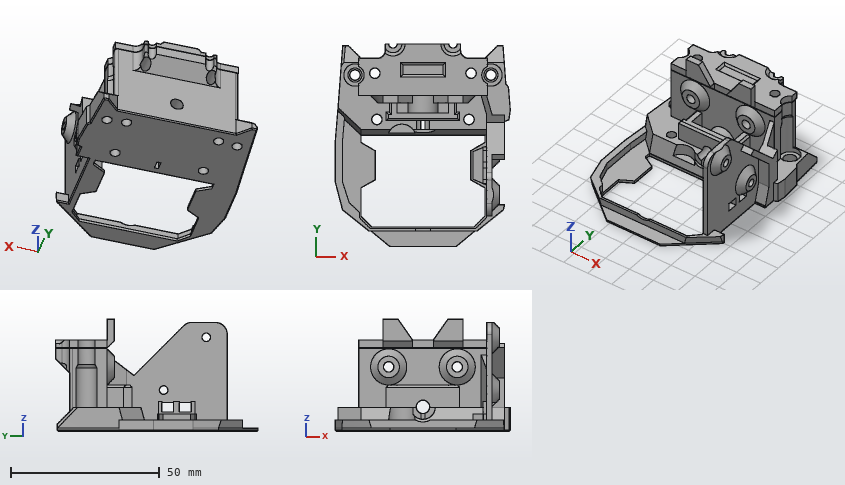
import cadquery as cq
import math


FLOOR_THICKNESS = 1.1
BOTTOM_CHAMFER = 0.4
RIM_HEIGHT = 3.9
FLANGE_HEIGHT = 8.1
FLANGE_FRONT_TOP_Y = -11.3
FLANGE_FRONT_FOOT_Y = -13.4
FLANGE_LEAN = FLANGE_FRONT_TOP_Y - FLANGE_FRONT_FOOT_Y
FLANGE_RIGHT_X = 27.5
BACK_Y = 17.45
FRONT_Y = BACK_Y - 68.2
WING_BACK_Y = 16.85
WING_BACK_HEIGHT = 2.45
WING_TIP_X = 25.1
WING_ROOT_X = 20.8
RIM_FRONT_Y = -45.5
RIM_END_Y = -36.55
WINDOW_X = 20.8
WINDOW_FRONT_Y = -44.05
WINDOW_CORNER = 3.6
RIM_LEDGE = 0.55
TAB_X = 16.0
TAB_TIP_Y = (-18.5, -28.3)
TAB_ROOT_Y = (-15.7, -30.95)
LEFT_BEND = (-28.55, -3.95)
LEFT_SIDE_X = -29.5
LEFT_SIDE_Y = (-15.55, -28.85)

BLOCK_HALF_WIDTH = 21.6
BLOCK_DEPTH = 12.6
BLOCK_TOP = 27.9
BLOCK_CORNER_RADIUS = 1.0
COVER_GAP = 0.2
COVER_BOTTOM = BLOCK_TOP + COVER_GAP
COVER_TOP = 30.75
TOTAL_HEIGHT = 37.8
EAR_HALF_WIDTH = 12.7
EAR_FILLET = 2.65
EAR_TIP_RADIUS = 0.4
EAR_FOOT_Z = 24.5
EAR_HOLE_X = 10.1
EAR_HOLE_DIAMETER = 2.8
EAR_SINK_DIAMETER = 6.0
EAR_SINK_TOP_DIAMETER = 8.2
EAR_SINK_DEPTH = 1.2
LABEL_SIZE = (15.05, 4.85)
LABEL_Y = 8.7
LABEL_DEPTH = 0.75
PRONG_OUTER_X = 13.5
PRONG_TOP_X = 8.4
PRONG_INNER_X = 3.5
PRONG_THICKNESS = 2.4

SCREW_DIAMETER = 3.4
COVER_SCREW = (16.15, 7.6)
FLANGE_SCREW = (15.5, -8.0)
CORNER_BORE = (22.85, 6.95)
CORNER_COUNTERBORE_DIAMETER = 4.7
CORNER_COUNTERBORE_FLOOR = 3.1
SHANK_DIAMETER = 6.2
HEAD_DIAMETER = 7.5
HEAD_FLOOR = 6.3
HEAD_TOP = 21.3
HEAD_CONE_TOP = 22.5

NOZZLE_X = 11.5
NOZZLE_Z = 21.7
NOZZLE_ROOT_RADIUS = 6.1
NOZZLE_LENGTH = 2.45
CHANNEL_Z = 8.25
CHANNEL_DIAMETER = 4.4
CHANNEL_SLEEVE_RADIUS = 5.05
CHANNEL_RECESS_RADIUS = 4.15
SLOT_WIDTH = 1.35
SCALLOP_CENTER = (-7.1, -14.4)
SCALLOP_RADIUS = 4.85

BRACKET_TOP = 15.55
BRACKET_CHAMFER = 0.75
BAR_HALF_WIDTH = 12.35
BAR_BACK_Y = -5.5
BAR_FRONT_Y = -8.4
ARM_OUTER_X = 11.3
ARM_INNER_X = 8.65
BRACKET_POCKET_Y = -5.8

WALL_INNER_X = 21.4
WALL_OUTER_X = 23.25
WALL_THICKNESS = WALL_OUTER_X - WALL_INNER_X
WALL_TOP = 36.7
WALL_FRONT_Y = -40.35
WALL_VALLEY = (-9.0, 18.8)
WALL_FRONT_RADIUS = 4.1
WALL_BACK_RADIUS = 3.4
GUSSET_ROOT_X = 19.55
GUSSET_END_Y = -6.4
GUSSET_TOP = 25.7
RIB_PEAK_Y = -19.8
RIB_END = (-21.5, 28.15)
RIB_END_RADIUS = 2
WALL_BOSSES = ((-33.3, 31.6), (-18.95, 13.9))
BOSS_HOLE_DIAMETER = 2.8
BOSS_TIP_RADIUS = 3.0
BOSS_LENGTH = 2.5

CATCH_TIP_X = 16.8
CATCH_FRAME_X = 20.2
CATCH_SHELF_Z = 5.8
CATCH_TOP = 10.1
CATCH_FRAME_Y = (-17.2, -29.5)
CATCH_OPENINGS_Y = ((-18.35, -22.2), (-24.3, -28.2))
CATCH_OPENING_Z = (6.6, 9.7)


def box(x0, x1, y0, y1, z0, z1):
    """A box between two opposite corners."""
    size = (abs(x1 - x0), abs(y1 - y0), abs(z1 - z0))
    return cq.Workplane("XY").box(*size).translate(((x0 + x1) / 2, (y0 + y1) / 2, (z0 + z1) / 2))


def prism(points, z0, z1):
    """A plan outline raised from z0 to z1."""
    return cq.Workplane("XY").workplane(offset=z0).polyline(points).close().extrude(z1 - z0)


def side_profile(points, x0, x1):
    """A (y, z) outline swept along X from x0 to x1."""
    return cq.Workplane("YZ").workplane(offset=x0).polyline(points).close().extrude(x1 - x0)


def ruled(lower, z0, upper, z1):
    """A solid with straight sides between two outlines of equal point count."""
    start = cq.Workplane("XY").workplane(offset=z0).polyline(lower).close()
    return start.workplane(offset=z1 - z0).polyline(upper).close().loft(ruled=True)


def post(center, radius, z0, z1):
    """A vertical cylinder."""
    return cq.Workplane("XY").workplane(offset=z0).center(*center).circle(radius).extrude(z1 - z0)


def cylinder_y(x, z, radius, y_front, y_back):
    """A cylinder along Y."""
    length = y_back - y_front
    return cq.Workplane(cq.Solid.makeCylinder(radius, length, cq.Vector(x, y_front, z), cq.Vector(0, 1, 0)))


def mirrored(point):
    """A plan position and its mirror image across the middle plane."""
    return [(-point[0], point[1]), point]


RIGHT_SIDE = [
    (FLANGE_RIGHT_X, -8.65),
    (28.9, -8.1),
    (29.4, -4.8),
    (28.8, 2.85),
    (27.9, 3.95),
    (26.9, WING_BACK_Y),
]
BACK_SIDE = [
    (WING_TIP_X, WING_BACK_Y),
    (WING_ROOT_X, BLOCK_DEPTH),
    (-WING_ROOT_X, BLOCK_DEPTH),
    (-WING_TIP_X, WING_BACK_Y),
    (-27.0, WING_BACK_Y),
]
LEFT_SIDE = [LEFT_BEND, (LEFT_SIDE_X, LEFT_SIDE_Y[0]), (LEFT_SIDE_X, LEFT_SIDE_Y[1])]


def window_cutter():
    """The opening in the floor, narrowed by a tab on each side."""
    right = [
        (WINDOW_X, FLANGE_FRONT_FOOT_Y),
        (WINDOW_X, TAB_ROOT_Y[0]),
        (TAB_X, TAB_TIP_Y[0]),
        (TAB_X, TAB_TIP_Y[1]),
        (WINDOW_X, TAB_ROOT_Y[1]),
        (WINDOW_X, WINDOW_FRONT_Y + WINDOW_CORNER),
        (WINDOW_X - WINDOW_CORNER, WINDOW_FRONT_Y),
    ]
    left = [(-x, y) for x, y in reversed(right)]
    return prism(right + left, 0, FLOOR_THICKNESS)


def make_floor():
    """The thin base plate with its front lip and chamfered underside."""
    front = [
        (-27.2, -37.35),
        (-11.1, FRONT_Y),
        (11.1, FRONT_Y),
        (27.2, -37.35),
        (FLANGE_RIGHT_X, RIM_END_Y),
        (WALL_OUTER_X, RIM_END_Y),
        (WALL_OUTER_X, FLANGE_FRONT_FOOT_Y),
        (FLANGE_RIGHT_X, FLANGE_FRONT_FOOT_Y),
    ]
    floor = prism(LEFT_SIDE + front + RIGHT_SIDE + BACK_SIDE, 0, FLOOR_THICKNESS)
    return floor.faces("<Z").chamfer(BOTTOM_CHAMFER).cut(window_cutter())


def make_rim():
    """The low wall round the frame; its front corners lean outward towards the top."""

    def outline(corner, front_x):
        right = [(front_x, RIM_FRONT_Y), (-corner[0], corner[1]), (FLANGE_RIGHT_X, RIM_END_Y)]
        inside = [(WALL_INNER_X, RIM_END_Y), (WALL_INNER_X, LEFT_BEND[1])]
        return LEFT_SIDE + [corner, (-front_x, RIM_FRONT_Y)] + right + inside

    lower = outline((-27.2, -37.35), 17.3)
    upper = outline((-27.05, -38.3), 18.1)
    wall = ruled(lower, FLOOR_THICKNESS, upper, RIM_HEIGHT)
    inner_x = WINDOW_X + RIM_LEDGE
    front_y = WINDOW_FRONT_Y - RIM_LEDGE
    inner = [
        (-26.05, LEFT_BEND[1]),
        (-27.05, LEFT_SIDE_Y[0]),
        (-27.05, LEFT_SIDE_Y[1]),
        (-24.8, -35.85),
        (-inner_x, -39.2),
        (-inner_x, front_y + WINDOW_CORNER),
        (WINDOW_CORNER - inner_x, front_y),
        (inner_x - WINDOW_CORNER, front_y),
        (inner_x, front_y + WINDOW_CORNER),
        (inner_x, LEFT_BEND[1]),
    ]
    return wall.cut(prism(inner, FLOOR_THICKNESS, RIM_HEIGHT))


def make_flange():
    """The thick rear part of the base, with leaning front faces and sloping rear wings."""

    def outline(lean):
        front = FLANGE_FRONT_TOP_Y - lean
        corners = [(-WINDOW_X, front), (FLANGE_RIGHT_X, front)]
        return [(LEFT_BEND[0], LEFT_BEND[1] - lean)] + corners + RIGHT_SIDE + BACK_SIDE

    flange = ruled(outline(FLANGE_LEAN), BOTTOM_CHAMFER, outline(0), FLANGE_HEIGHT)
    drop = FLANGE_HEIGHT - WING_BACK_HEIGHT
    slope = [
        (WING_BACK_Y, WING_BACK_HEIGHT),
        (WING_BACK_Y, FLANGE_HEIGHT),
        (WING_BACK_Y - drop, FLANGE_HEIGHT),
    ]
    flange = flange.cut(side_profile(slope, -34.1, 34.1))
    corner = cq.Plane(origin=(-26.05, WING_BACK_Y, WING_BACK_HEIGHT), normal=(-21, 16, 14))
    return flange.cut(cq.Workplane(corner).rect(27.3, 27.3).extrude(6.8))


def ear_outline(half_width):
    """Plan outline of the block top with the tongue that carries the two rear screws."""
    start = EAR_HALF_WIDTH + EAR_FILLET
    bend = EAR_FILLET * (1 - math.sqrt(0.5))
    shoulder = BLOCK_DEPTH + EAR_FILLET
    tip_bend = EAR_TIP_RADIUS * (1 - math.sqrt(0.5))
    outline = cq.Workplane("XY").moveTo(-half_width, 0).lineTo(half_width, 0)
    outline = outline.lineTo(half_width, BLOCK_DEPTH).lineTo(start, BLOCK_DEPTH)
    outline = outline.threePointArc((EAR_HALF_WIDTH + bend, BLOCK_DEPTH + bend), (EAR_HALF_WIDTH, shoulder))
    outline = outline.lineTo(EAR_HALF_WIDTH, BACK_Y - EAR_TIP_RADIUS)
    outline = outline.threePointArc(
        (EAR_HALF_WIDTH - tip_bend, BACK_Y - tip_bend), (EAR_HALF_WIDTH - EAR_TIP_RADIUS, BACK_Y)
    )
    outline = outline.lineTo(EAR_TIP_RADIUS - EAR_HALF_WIDTH, BACK_Y)
    outline = outline.threePointArc(
        (tip_bend - EAR_HALF_WIDTH, BACK_Y - tip_bend), (-EAR_HALF_WIDTH, BACK_Y - EAR_TIP_RADIUS)
    )
    outline = outline.lineTo(-EAR_HALF_WIDTH, shoulder)
    outline = outline.threePointArc((-EAR_HALF_WIDTH - bend, BLOCK_DEPTH + bend), (-start, BLOCK_DEPTH))
    return outline.lineTo(-half_width, BLOCK_DEPTH).close()


def make_block():
    """The upright block with a 45 degree underside below its rear tongue."""
    block = box(-BLOCK_HALF_WIDTH, BLOCK_HALF_WIDTH, 0, BLOCK_DEPTH, BOTTOM_CHAMFER, BLOCK_TOP)
    block = block.edges("|Z and >Y").fillet(BLOCK_CORNER_RADIUS)
    overhang = BACK_Y - BLOCK_DEPTH
    foot = EAR_FOOT_Z - overhang
    tongue = ear_outline(EAR_HALF_WIDTH + EAR_FILLET + 0.7).extrude(BLOCK_TOP - foot).translate((0, 0, foot))
    below = [(BLOCK_DEPTH, foot), (BACK_Y, EAR_FOOT_Z), (BACK_Y, foot)]
    return block.union(tongue.cut(side_profile(below, -34.1, 34.1)))


def make_nozzle(x):
    """A conical boss on the block front."""
    tip_radius = NOZZLE_ROOT_RADIUS - NOZZLE_LENGTH
    origin = cq.Vector(x, 0, NOZZLE_Z)
    cone = cq.Solid.makeCone(NOZZLE_ROOT_RADIUS, tip_radius, NOZZLE_LENGTH, origin, cq.Vector(0, -1, 0))
    return cq.Workplane(cone)


def make_bracket():
    """A bar held in front of the block by two arms, chamfered round its top."""
    bracket = box(-ARM_OUTER_X, ARM_OUTER_X, 0, BAR_BACK_Y, FLANGE_HEIGHT, BRACKET_TOP)
    bracket = bracket.union(
        box(-BAR_HALF_WIDTH, BAR_HALF_WIDTH, BAR_BACK_Y, BAR_FRONT_Y, FLANGE_HEIGHT, BRACKET_TOP)
    )
    bracket = bracket.faces(">Z").edges("not >Y").chamfer(BRACKET_CHAMFER)
    pocket = box(-ARM_INNER_X, ARM_INNER_X, 0, BRACKET_POCKET_Y, FLANGE_HEIGHT, BRACKET_TOP)
    sleeve = cylinder_y(0, CHANNEL_Z, CHANNEL_SLEEVE_RADIUS, BRACKET_POCKET_Y, 0)
    return bracket.cut(pocket).union(sleeve)


def make_wall():
    """The upright side wall with its gusset to the block, outer rib and bosses."""
    valley_y, valley_z = WALL_VALLEY
    rise = WALL_TOP - valley_z
    outline = [
        (valley_y - rise, WALL_TOP),
        WALL_VALLEY,
        (GUSSET_END_Y, GUSSET_TOP + (valley_z - GUSSET_TOP) * GUSSET_END_Y / valley_y),
        (GUSSET_END_Y, BOTTOM_CHAMFER),
        (WALL_FRONT_Y, BOTTOM_CHAMFER),
        (WALL_FRONT_Y, WALL_TOP),
    ]
    wall = side_profile(outline, WALL_INNER_X, WALL_OUTER_X)
    wall = wall.edges(">Z and <Y and |X").fillet(WALL_FRONT_RADIUS)
    wall = wall.edges("|X").edges(cq.selectors.NearestToPointSelector((WALL_INNER_X, *outline[0])))
    wall = wall.fillet(WALL_BACK_RADIUS)

    gusset = prism(
        [
            (GUSSET_ROOT_X, 0),
            (WALL_INNER_X, GUSSET_END_Y),
            (WALL_OUTER_X, GUSSET_END_Y),
            (GUSSET_ROOT_X + WALL_THICKNESS, 0),
        ],
        BOTTOM_CHAMFER,
        GUSSET_TOP,
    )
    above_gusset = [(0, GUSSET_TOP), (valley_y, GUSSET_TOP), WALL_VALLEY]
    gusset = gusset.cut(side_profile(above_gusset, GUSSET_ROOT_X, WALL_OUTER_X))
    return wall.union(gusset)


def make_rib():
    """The thick slanting rib outside the side wall, rounded at its upper end."""
    valley_y, valley_z = WALL_VALLEY
    peak_z = valley_z + valley_y - RIB_PEAK_Y
    end_y, end_z = RIB_END
    elbow_z = end_z + end_y - FLANGE_FRONT_TOP_Y
    outline = [
        (GUSSET_END_Y, BOTTOM_CHAMFER),
        (GUSSET_END_Y, GUSSET_TOP + (valley_z - GUSSET_TOP) * GUSSET_END_Y / valley_y),
        WALL_VALLEY,
        (RIB_PEAK_Y, peak_z),
        RIB_END,
        (FLANGE_FRONT_TOP_Y, elbow_z),
        (FLANGE_FRONT_TOP_Y, BOTTOM_CHAMFER),
    ]
    return side_profile(outline, WALL_OUTER_X, FLANGE_RIGHT_X)


def make_wall_boss(y, z):
    """A conical boss on the outside of the side wall, cut level with the wall top."""
    origin = cq.Vector(WALL_OUTER_X, y, z)
    cone = cq.Solid.makeCone(BOSS_TIP_RADIUS + BOSS_LENGTH, BOSS_TIP_RADIUS, BOSS_LENGTH, origin, cq.Vector(1, 0, 0))
    limit = box(WALL_OUTER_X, WALL_OUTER_X + BOSS_LENGTH, -47.7, 0, 0, WALL_TOP)
    return cq.Workplane(cone).intersect(limit)


def make_catch():
    """The tapered catch on the inside of the side wall: a shelf with a frame behind it."""
    shelf = [
        (WALL_INNER_X, -16.9),
        (CATCH_TIP_X, -18.8),
        (CATCH_TIP_X, -28.0),
        (WALL_INNER_X, -30.0),
    ]
    catch = prism(shelf, FLOOR_THICKNESS, CATCH_SHELF_Z)
    frame = box(CATCH_FRAME_X, WALL_INNER_X, *CATCH_FRAME_Y, FLOOR_THICKNESS, CATCH_TOP)
    return catch.union(frame)


def cut_wall_openings(body):
    """Screw holes through the wall bosses and the two openings of the catch."""
    for y, z in WALL_BOSSES:
        hole = cq.Workplane("YZ").workplane(offset=WALL_INNER_X).center(y, z)
        body = body.cut(hole.circle(BOSS_HOLE_DIAMETER / 2).extrude(6.8))
    low, high = CATCH_OPENING_Z
    for y0, y1 in CATCH_OPENINGS_Y:
        body = body.cut(box(CATCH_FRAME_X, FLANGE_RIGHT_X, y0, y1, low, high))
        body = body.cut(box(CATCH_FRAME_X, WALL_INNER_X, y0, y1, low, CATCH_TOP))
    return body


def cut_channel(body):
    """The tube bore along Y with its front recess, drain slot, rim notch and neighbouring scallop."""
    body = body.cut(cylinder_y(0, CHANNEL_Z, CHANNEL_DIAMETER / 2, FLANGE_FRONT_FOOT_Y, BLOCK_DEPTH))
    body = body.cut(cylinder_y(0, CHANNEL_Z, CHANNEL_RECESS_RADIUS, FLANGE_FRONT_FOOT_Y, FLANGE_FRONT_TOP_Y))
    body = body.cut(cylinder_y(0, CHANNEL_Z, CHANNEL_SLEEVE_RADIUS, RIM_FRONT_Y, WINDOW_FRONT_Y))
    half_slot = SLOT_WIDTH / 2
    body = body.cut(box(-half_slot, half_slot, BAR_FRONT_Y, FLANGE_FRONT_TOP_Y, 0, CHANNEL_Z))
    return body.cut(post(SCALLOP_CENTER, SCALLOP_RADIUS, RIM_HEIGHT, FLANGE_HEIGHT))


def cut_nozzle_holes(body):
    """Screw holes along Y through the nozzles and the block."""
    for x in (-NOZZLE_X, NOZZLE_X):
        body = body.cut(cylinder_y(x, NOZZLE_Z, SCREW_DIAMETER / 2, -NOZZLE_LENGTH, BACK_Y))
    return body


def cut_vertical_screws(body):
    """Vertical screw holes shared by the housing and the cover."""
    for point in mirrored(COVER_SCREW):
        body = body.cut(post(point, SCREW_DIAMETER / 2, 0, COVER_TOP))
    for x in (-EAR_HOLE_X, EAR_HOLE_X):
        body = body.cut(post((x, BACK_Y), EAR_HOLE_DIAMETER / 2, 0, COVER_TOP))
    for point in mirrored(CORNER_BORE):
        body = body.cut(post(point, SHANK_DIAMETER / 2, HEAD_TOP, COVER_TOP))
    return body


def cut_base_screws(body):
    """Flange screw holes and the stepped corner bores beside the block."""
    for point in mirrored(FLANGE_SCREW):
        body = body.cut(post(point, SCREW_DIAMETER / 2, 0, FLANGE_HEIGHT))
    for point in mirrored(CORNER_BORE):
        origin = cq.Vector(*point, HEAD_TOP)
        cone_height = HEAD_CONE_TOP - HEAD_TOP
        body = body.cut(post(point, SCREW_DIAMETER / 2, 0, HEAD_FLOOR))
        body = body.cut(post(point, CORNER_COUNTERBORE_DIAMETER / 2, CORNER_COUNTERBORE_FLOOR, HEAD_FLOOR))
        body = body.cut(post(point, HEAD_DIAMETER / 2, HEAD_FLOOR, HEAD_TOP))
        body = body.cut(
            cq.Workplane(cq.Solid.makeCone(HEAD_DIAMETER / 2, SHANK_DIAMETER / 2, cone_height, origin))
        )
    return body


def make_housing():
    housing = make_floor().union(make_rim()).union(make_flange()).union(make_block())
    housing = housing.union(make_bracket()).union(make_wall()).union(make_rib()).union(make_catch())
    for x in (-NOZZLE_X, NOZZLE_X):
        housing = housing.union(make_nozzle(x))
    for y, z in WALL_BOSSES:
        housing = housing.union(make_wall_boss(y, z))
    housing = cut_wall_openings(housing)
    housing = cut_channel(housing)
    housing = cut_nozzle_holes(housing)
    housing = cut_vertical_screws(housing)
    return cut_base_screws(housing)


def make_prong(side):
    """A slanted upright prong on the cover's front edge, on the left (-1) or right (1)."""
    face = [
        (side * PRONG_OUTER_X, COVER_BOTTOM),
        (side * PRONG_OUTER_X, TOTAL_HEIGHT),
        (side * PRONG_TOP_X, TOTAL_HEIGHT),
        (side * PRONG_INNER_X, COVER_TOP),
        (side * PRONG_INNER_X, COVER_BOTTOM),
    ]
    prong = cq.Workplane("XZ").polyline(face).close().extrude(PRONG_THICKNESS)
    below = [
        (0, COVER_BOTTOM),
        (-PRONG_THICKNESS, COVER_BOTTOM),
        (-PRONG_THICKNESS, COVER_BOTTOM + PRONG_THICKNESS),
    ]
    return prong.cut(side_profile(below, -PRONG_OUTER_X, PRONG_OUTER_X))


def make_cover():
    """The plate above the block, with two prongs, a label recess and countersunk rear screws."""
    cover = ear_outline(BLOCK_HALF_WIDTH).extrude(COVER_TOP - COVER_BOTTOM)
    cover = cover.translate((0, 0, COVER_BOTTOM))
    for side in (-1, 1):
        cover = cover.union(make_prong(side))
    label = cq.Workplane("XY").workplane(offset=COVER_TOP).center(0, LABEL_Y).rect(*LABEL_SIZE)
    cover = cover.cut(label.extrude(-LABEL_DEPTH, taper=45))
    for x in (-EAR_HOLE_X, EAR_HOLE_X):
        origin = cq.Vector(x, BACK_Y, COVER_TOP - EAR_SINK_DEPTH)
        sink = cq.Solid.makeCone(EAR_SINK_DIAMETER / 2, EAR_SINK_TOP_DIAMETER / 2, EAR_SINK_DEPTH, origin)
        cover = cover.cut(cq.Workplane(sink))
    return cut_vertical_screws(cover)


housing = make_housing()
cover = make_cover()
result = cq.Compound.makeCompound([housing.val(), cover.val()])